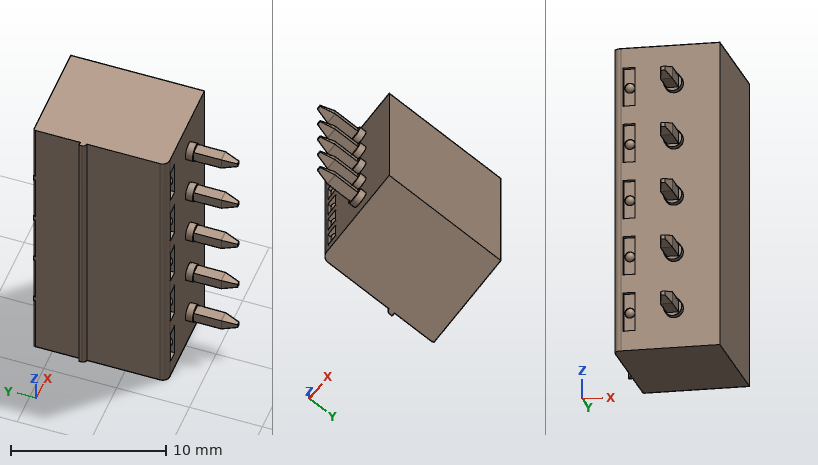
import cadquery as cq


body_width = 7.01
body_depth = 9.18
body_height = 20.45
front_edge_radius = 0.5

rib_height = 0.25
rib_width = 0.45
rib_back_offset = 3.2
rib_corner_radius = rib_height

pole_count = 5
pole_pitch = 3.8
pole_heights = [
    body_height / 2 + (i - (pole_count - 1) / 2) * pole_pitch
    for i in range(pole_count)
]

back_chamfer_width = 0.06
back_chamfer_length = 0.15
chamfer_gap = 0.39
gap_centres = [z + pole_pitch / 2 for z in pole_heights[:-1]]

pin_x = 4.0
collar_diameter = 1.2
collar_length = 0.5
pin_side = 0.78
pin_tip_side = 0.27
pin_straight_length = 1.9
pin_taper_length = 1.02

window_x = 1.02
window_width = 0.78
window_height = 2.58
window_depth = 0.35
dome_radius = 0.33


def front_plane(x, y, z):
    """Plane parallel to XZ with its normal pointing out of the front face."""
    return cq.Workplane("XZ", origin=(x, y, z))


def make_body():
    block = cq.Workplane("XY").box(body_width, body_depth, body_height, centered=False)
    return block.edges("|Z and <X and <Y").fillet(front_edge_radius)


def make_rib():
    rib = (
        cq.Workplane("XY", origin=(-rib_height, body_depth - rib_back_offset - rib_width, 0))
        .box(2 * rib_height, rib_width, body_height, centered=False)
    )
    return rib.edges("|Z and <X and <Y").fillet(rib_corner_radius)


def make_chamfer_cut(z_start, z_end):
    return (
        cq.Workplane("XY", origin=(0, body_depth, z_start))
        .polyline([(0, 0), (back_chamfer_width, 0), (0, -back_chamfer_length)])
        .close()
        .extrude(z_end - z_start)
    )


def make_pin(z):
    collar = front_plane(pin_x, 0, z).circle(collar_diameter / 2).extrude(collar_length)
    shank = (
        front_plane(pin_x, -collar_length, z)
        .rect(pin_side, pin_side)
        .extrude(pin_straight_length)
    )
    tip = (
        front_plane(pin_x, -collar_length - pin_straight_length, z)
        .rect(pin_side, pin_side)
        .workplane(offset=pin_taper_length)
        .rect(pin_tip_side, pin_tip_side)
        .loft(ruled=True)
    )
    return collar.union(shank).union(tip)


def make_window(z):
    return front_plane(window_x, 0, z).rect(window_width, window_height).extrude(-window_depth)


def make_dome(z):
    return cq.Workplane("XY", origin=(window_x, window_depth, z)).sphere(dome_radius)


result = make_body().union(make_rib())

stretch_starts = [0] + [z + chamfer_gap / 2 for z in gap_centres]
stretch_ends = [z - chamfer_gap / 2 for z in gap_centres] + [body_height]
for start, end in zip(stretch_starts, stretch_ends):
    result = result.cut(make_chamfer_cut(start, end))

for height in pole_heights:
    result = result.cut(make_window(height))
    result = result.union(make_dome(height))
    result = result.union(make_pin(height))